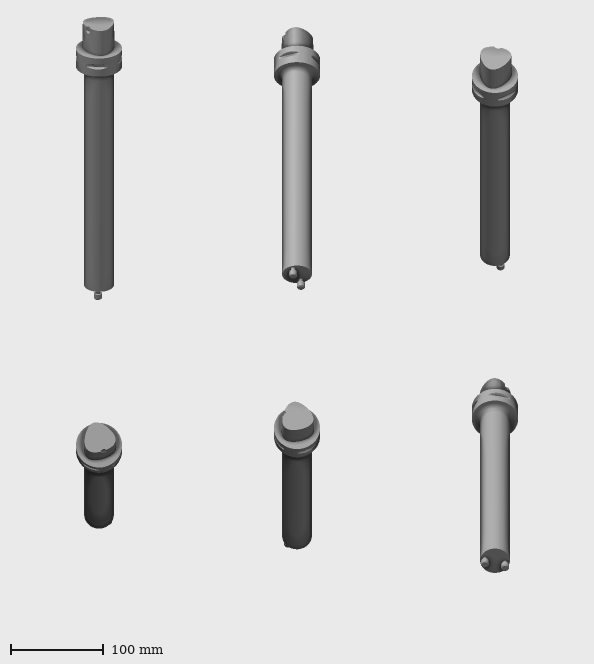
import cadquery as cq
import math

total_length = 328.0
shank_length = 30.0
flange_height = 22.0
pin_length = 10.8
flange_top = total_length - shank_length
flange_bottom = flange_top - flange_height

body_diameter = 32.0
flange_diameter = 50.0
neck_fillet = 5.5

shank_base_radius = 17.5
shank_taper_ratio = 20.0
shank_top_radius = shank_base_radius - shank_length / shank_taper_ratio / 2
lobe_offset = 1.48
lobe_arcs = 6
points_per_arc = 9

keyway_radius = 4.0
keyway_depth = 2.0
keyway_straight_length = 5.2

groove_count = 4
groove_start_angle = 45.0
groove_floor_distance = 22.0
groove_floor_height = 3.0
groove_mouth_height = 6.2
groove_center_z = flange_top - 10.2

pin_diameter = 5.0
pin_head_diameter = 8.5
pin_head_height = 6.5
pin_head_chamfer = 1.0
pin_offset = 8.0


def make_body_and_flange():
    """Revolve the body, its concave neck and the flange as one profile."""
    body_radius = body_diameter / 2
    neck_middle = neck_fillet * math.sqrt(0.5)
    fillet_center_x = body_radius + neck_fillet
    fillet_center_z = flange_bottom - neck_fillet
    return (
        cq.Workplane("XZ")
        .moveTo(0, pin_length)
        .lineTo(body_radius, pin_length)
        .lineTo(body_radius, fillet_center_z)
        .threePointArc(
            (fillet_center_x - neck_middle, fillet_center_z + neck_middle),
            (fillet_center_x, flange_bottom),
        )
        .lineTo(flange_diameter / 2, flange_bottom)
        .lineTo(flange_diameter / 2, flange_top)
        .lineTo(0, flange_top)
        .close()
        .revolve(360, (0, 0, 0), (0, 1, 0))
    )


def lobe_point(radius, angle, z):
    """Point of the three-lobed curve, with one lobe toward +Y."""
    x = -radius * math.sin(angle) + lobe_offset * math.sin(2 * angle)
    y = radius * math.cos(angle) + lobe_offset * math.cos(2 * angle)
    return cq.Vector(x, y, z)


def lobe_tangent(radius, angle):
    """Direction of the three-lobed curve at the given angle."""
    x = -radius * math.cos(angle) + 2 * lobe_offset * math.cos(2 * angle)
    y = -radius * math.sin(angle) - 2 * lobe_offset * math.sin(2 * angle)
    return cq.Vector(x, y, 0)


def lobe_wire(radius, z):
    """Closed outline of alternating lobes and flatter sides."""
    sweep = 2 * math.pi / lobe_arcs
    edges = []
    for arc in range(lobe_arcs):
        start = (arc - 0.5) * sweep
        angles = [start + sweep * i / (points_per_arc - 1) for i in range(points_per_arc)]
        points = [lobe_point(radius, angle, z) for angle in angles]
        tangents = [lobe_tangent(radius, angle) for angle in (angles[0], angles[-1])]
        edges.append(cq.Edge.makeSpline(points, tangents))
    return cq.Wire.assembleEdges(edges)


def make_shank():
    base = lobe_wire(shank_base_radius, flange_top)
    top = lobe_wire(shank_top_radius, total_length)
    return cq.Workplane(cq.Solid.makeLoft([base, top], True))


def make_keyway():
    """Vertical round cutter with a conical tip, standing partly outside the shank."""
    flat_side_y = -(shank_top_radius - lobe_offset)
    axis_y = flat_side_y + keyway_depth - keyway_radius
    straight_end = total_length - keyway_straight_length
    return (
        cq.Workplane("XZ", origin=(0, axis_y, 0))
        .moveTo(0, total_length)
        .lineTo(keyway_radius, total_length)
        .lineTo(keyway_radius, straight_end)
        .lineTo(0, straight_end - keyway_radius)
        .close()
        .revolve(360, (0, 0, 0), (0, 1, 0))
    )


def make_groove(angle):
    """Straight groove with sloping walls, facing outward at the given angle."""
    mouth_distance = flange_diameter / 2
    half_floor = groove_floor_height / 2
    half_mouth = groove_mouth_height / 2
    return (
        cq.Workplane("XZ", origin=(0, 0, groove_center_z))
        .polyline([
            (groove_floor_distance, -half_floor),
            (mouth_distance, -half_mouth),
            (mouth_distance, half_mouth),
            (groove_floor_distance, half_floor),
        ])
        .close()
        .extrude(flange_diameter / 2, both=True)
        .rotate((0, 0, 0), (0, 0, 1), angle)
    )


def make_pin(x, y):
    stem = cq.Workplane("XY").circle(pin_diameter / 2).extrude(pin_length)
    head = (
        cq.Workplane("XY")
        .circle(pin_head_diameter / 2)
        .extrude(pin_head_height)
        .faces("<Z")
        .chamfer(pin_head_chamfer)
    )
    return stem.union(head).translate((x, y, 0))


result = make_body_and_flange().union(make_shank()).cut(make_keyway())

for groove in range(groove_count):
    result = result.cut(make_groove(groove_start_angle + groove * 360 / groove_count))

for side in (-1, 1):
    result = result.union(make_pin(side * pin_offset, -side * pin_offset))